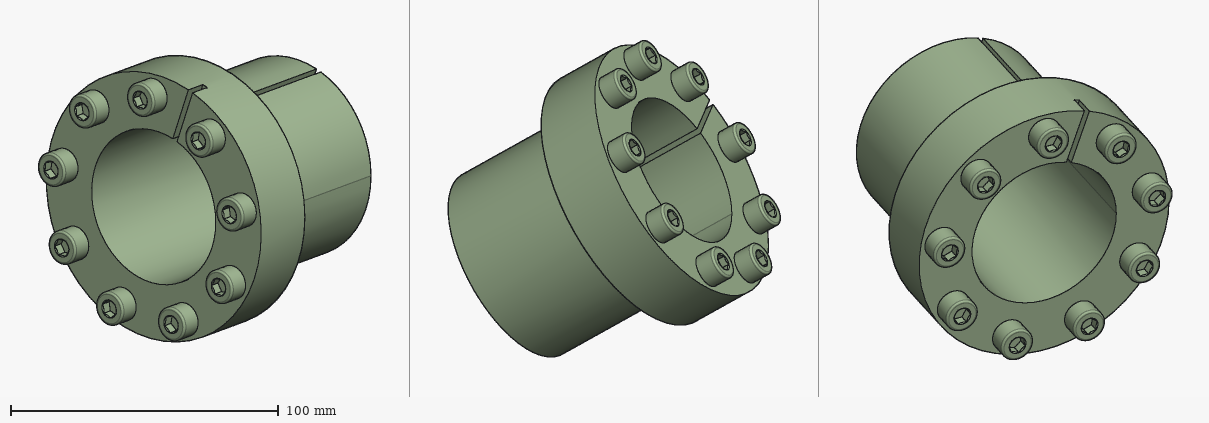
import cadquery as cq
import math

flange_diameter = 104.0
sleeve_diameter = 77.0
bore_diameter = 60.0
sleeve_length = 55.0
rear_flange_length = 17.5
front_flange_length = 8.5
rear_chamfer = 0.3

slit_angle = 70.0
slit_width = 2.2
rear_rim_thickness = 2.8

screw_count = 9
bolt_circle_diameter = 87.6
first_screw_angle = 90.0
screw_angles = [first_screw_angle + i * 360 / screw_count for i in range(screw_count)]
head_diameter = 13.0
head_length = 8.0
head_edge_radius = 0.8
shank_diameter = 8.0
shank_length = 20.0
socket_width = 6.0
socket_depth = 4.0
countersink_diameter = 7.0

front_face_y = 0.0
flange_joint_y = front_face_y + front_flange_length
rear_face_y = flange_joint_y + rear_flange_length
sleeve_end_y = rear_face_y + sleeve_length
head_top_y = front_face_y - head_length


def cylinder(diameter, start_y, end_y):
    """Cylinder about the Y axis between two Y positions."""
    return (
        cq.Workplane("XZ", origin=(0, start_y, 0))
        .circle(diameter / 2)
        .extrude(start_y - end_y)
    )


def at_screw(body, angle):
    """Move a body from the Y axis to its place on the bolt circle, at an angle from +X."""
    on_circle = body.translate((bolt_circle_diameter / 2, 0, 0))
    return on_circle.rotate((0, 0, 0), (0, 1, 0), -angle)


def slit_cutter(outer_radius, start_y, end_y):
    """Radial slab from the axis out to a given radius."""
    slab = cq.Workplane("XY").box(
        outer_radius, end_y - start_y, slit_width, centered=(False, False, True)
    )
    return slab.translate((0, start_y, 0)).rotate((0, 0, 0), (0, 1, 0), -slit_angle)


def make_housing():
    """Flanged sleeve with its bore, slit and screw holes."""
    flange = cylinder(flange_diameter, front_face_y, rear_face_y)
    flange = flange.faces(">Y").chamfer(rear_chamfer)
    sleeve = cylinder(sleeve_diameter, rear_face_y, sleeve_end_y)
    housing = flange.union(sleeve)
    housing = housing.cut(cylinder(bore_diameter, front_face_y, sleeve_end_y))

    rim_inner_radius = flange_diameter / 2 - rear_rim_thickness
    housing = housing.cut(slit_cutter(flange_diameter, front_face_y, flange_joint_y))
    housing = housing.cut(slit_cutter(rim_inner_radius, flange_joint_y, sleeve_end_y))

    screw_hole = cylinder(shank_diameter, front_face_y, front_face_y + shank_length)
    for angle in screw_angles:
        housing = housing.cut(at_screw(screw_hole, angle))
    return housing


def make_screw():
    """Socket head screw on the Y axis, with one pair of socket corners along X."""
    head = cylinder(head_diameter, head_top_y, front_face_y)
    head = head.faces("<Y").edges().fillet(head_edge_radius)
    shank = cylinder(shank_diameter, front_face_y, front_face_y + shank_length)

    socket_corner_diameter = socket_width / math.cos(math.pi / 6)
    socket = (
        cq.Workplane("XZ", origin=(0, head_top_y, 0))
        .polygon(6, socket_corner_diameter)
        .extrude(-socket_depth)
    )
    countersink_radius = countersink_diameter / 2
    countersink = cq.Workplane(
        cq.Solid.makeCone(
            countersink_radius,
            0,
            countersink_radius,
            pnt=cq.Vector(0, head_top_y, 0),
            dir=cq.Vector(0, 1, 0),
        )
    )
    return head.union(shank).cut(socket).cut(countersink)


housing = make_housing()

quarter_turn = 90
screw_blank = make_screw().rotate((0, 0, 0), (0, 1, 0), quarter_turn)
screws = [at_screw(screw_blank, angle) for angle in screw_angles]

result = cq.Compound.makeCompound([housing.val(), *[screw.val() for screw in screws]])